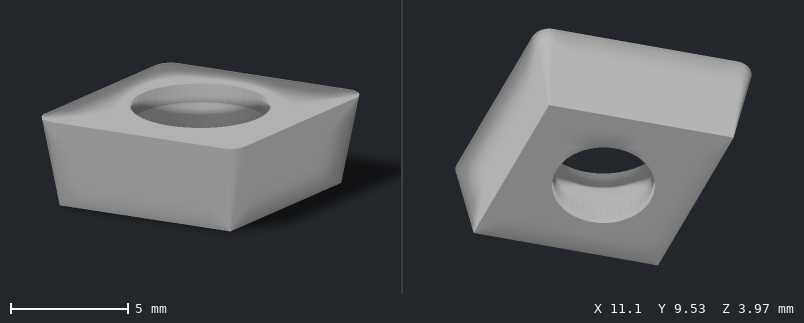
import cadquery as cq
import math

width = 9.53
thickness = 3.97
corner_angle = 80.0
corner_radius = 0.8
clearance_angle = 11.0

mouth_radius = 3.0
bore_radius = 2.2
mouth_depth = 0.84
seat_end_depth = 2.84


def plate():
    """Rounded rhombus with its top face at Z = 0, narrowing downwards."""
    half_width = width / 2
    side = width / math.sin(math.radians(corner_angle))
    lean = half_width / math.tan(math.radians(corner_angle))
    corners = [
        (-side / 2 - lean, -half_width),
        (side / 2 - lean, -half_width),
        (side / 2 + lean, half_width),
        (-side / 2 + lean, half_width),
    ]
    outline = cq.Sketch().polygon(corners + corners[:1]).vertices().fillet(corner_radius)
    return cq.Workplane("XY").placeSketch(outline).extrude(-thickness, taper=clearance_angle)


def screw_hole():
    """Revolved cutter whose seat leaves a convex wall tangent to the bore."""
    seat_height = seat_end_depth - mouth_depth
    seat_step = mouth_radius - bore_radius
    seat_radius = (seat_height**2 + seat_step**2) / (2 * seat_step)
    half_sweep = math.asin(seat_height / seat_radius) / 2
    seat_middle = (
        bore_radius + seat_radius * (1 - math.cos(half_sweep)),
        -seat_end_depth + seat_radius * math.sin(half_sweep),
    )
    profile = (
        cq.Workplane("XZ")
        .lineTo(mouth_radius, 0)
        .lineTo(mouth_radius, -mouth_depth)
        .threePointArc(seat_middle, (bore_radius, -seat_end_depth))
        .lineTo(bore_radius, -thickness)
        .lineTo(0, -thickness)
        .close()
    )
    return profile.revolve(360, (0, 0, 0), (0, 1, 0))


result = plate().cut(screw_hole())